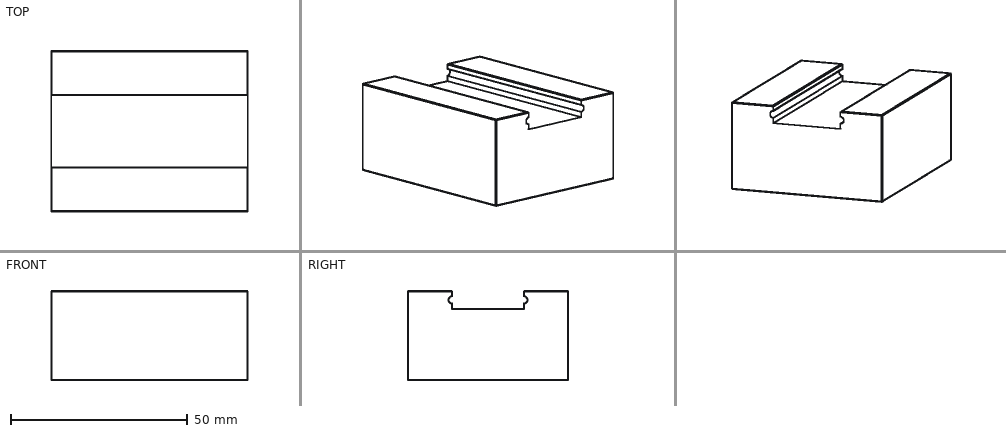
import cadquery as cq

length = 55.9
width = 45.7
height = 25.4
edge_chamfer = 0.25

channel_width = 20.35
channel_depth = 5.1

groove_radius = 1.0

channel_half_width = channel_width / 2
channel_floor = height - channel_depth
groove_height = height - channel_depth / 2


def make_block():
    """Rectangular block with every outer edge broken."""
    block = cq.Workplane("XY").box(length, width, height, centered=(True, True, False))
    return block.edges().chamfer(edge_chamfer)


def make_channel():
    """Channel volume whose mouth flares to chamfer the upper wall edges."""
    mouth_half_width = channel_half_width + edge_chamfer
    profile = [
        (-channel_half_width, channel_floor),
        (channel_half_width, channel_floor),
        (channel_half_width, height - edge_chamfer),
        (mouth_half_width, height),
        (-mouth_half_width, height),
        (-channel_half_width, height - edge_chamfer),
    ]
    return cq.Workplane("YZ").polyline(profile).close().extrude(length / 2, both=True)


def make_grooves():
    """Pair of cylinders that cut the round grooves into the channel walls."""
    centers = [(side * channel_half_width, groove_height) for side in (-1, 1)]
    return cq.Workplane("YZ").pushPoints(centers).circle(groove_radius).extrude(length / 2, both=True)


result = make_block().cut(make_channel()).cut(make_grooves())